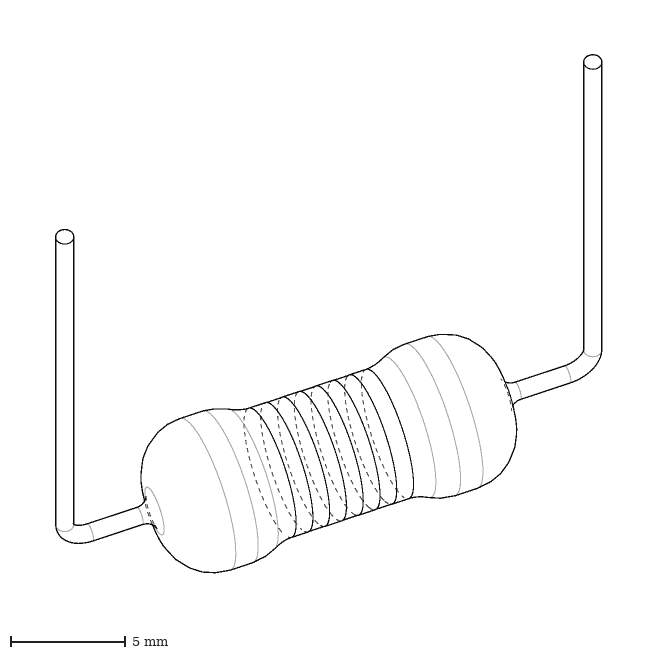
import cadquery as cq
import math


body_length = 16.5
cap_diameter = 7.0
cap_land_length = 1.06
waist_diameter = 5.95
shoulder_length = 2 * cap_land_length

band_diameter = 5.97
band_count = 4
band_width = 0.794
band_pitch = 2 * band_width

lead_diameter = 0.8
lead_pitch = 25.0
lead_top = 22.1
bend_radius = 1.2
flare_radius = 0.7

half_length = body_length / 2
cap_radius = cap_diameter / 2
waist_radius = waist_diameter / 2
lead_radius = lead_diameter / 2
lead_y = lead_pitch / 2
flare_foot_radius = lead_radius + flare_radius
cap_round_radius = cap_radius - flare_foot_radius
round_start = half_length - cap_round_radius
land_start = round_start - cap_land_length
shoulder_middle = land_start - shoulder_length / 2
shoulder_start = land_start - shoulder_length
diagonal = math.sqrt(0.5)


def shoulder_arc_offset():
    """Radial drop at the halfway point along either arc of the S-shaped shoulder."""
    run = shoulder_length / 2
    drop = (cap_radius - waist_radius) / 2
    radius = (run**2 + drop**2) / (2 * drop)
    return radius - math.sqrt(radius**2 - (run / 2)**2)


def make_waist():
    """Cylinder joining the two caps."""
    return cq.Workplane("XZ").circle(waist_radius).extrude(shoulder_start, both=True)


def make_cap():
    """The +Y cap: shoulder, straight land, rounded end and lead flare."""
    middle_radius = (cap_radius + waist_radius) / 2
    arc_offset = shoulder_arc_offset()
    inner_arc_y = (shoulder_start + shoulder_middle) / 2
    outer_arc_y = (shoulder_middle + land_start) / 2
    flare_end = half_length + flare_radius
    return (
        cq.Workplane("XY")
        .moveTo(0, shoulder_start)
        .lineTo(waist_radius, shoulder_start)
        .threePointArc((waist_radius + arc_offset, inner_arc_y), (middle_radius, shoulder_middle))
        .threePointArc((cap_radius - arc_offset, outer_arc_y), (cap_radius, land_start))
        .lineTo(cap_radius, round_start)
        .threePointArc(
            (flare_foot_radius + cap_round_radius * diagonal, round_start + cap_round_radius * diagonal),
            (flare_foot_radius, half_length),
        )
        .threePointArc(
            (flare_foot_radius - flare_radius * diagonal, flare_end - flare_radius * diagonal),
            (lead_radius, flare_end),
        )
        .lineTo(0, flare_end)
        .close()
        .revolve(360, (0, 0, 0), (0, 1, 0))
    )


def make_lead():
    """The +Y lead: straight out of the body, round the bend, up to its tip."""
    bend_start = lead_y - bend_radius
    path = (
        cq.Workplane("YZ")
        .moveTo(half_length, 0)
        .lineTo(bend_start, 0)
        .threePointArc(
            (bend_start + bend_radius * diagonal, bend_radius * (1 - diagonal)),
            (lead_y, bend_radius),
        )
        .lineTo(lead_y, lead_top)
    )
    section = cq.Workplane("XZ").workplane(offset=-half_length).circle(lead_radius)
    return section.sweep(path)


def make_band(centre_y):
    """One colour band around the waist."""
    return (
        cq.Workplane("XZ")
        .workplane(offset=-centre_y - band_width / 2)
        .circle(band_diameter / 2)
        .extrude(band_width)
    )


end_part = make_cap().union(make_lead())
result = make_waist().union(end_part).union(end_part.mirror("XZ"))
for index in range(band_count):
    band_y = (index - (band_count - 1) / 2) * band_pitch
    result = result.union(make_band(band_y))